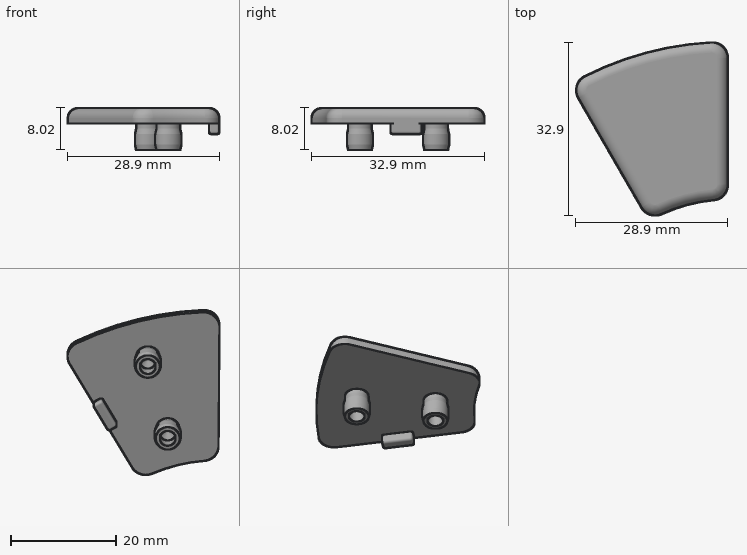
import cadquery as cq
import math

sector_angle = 30.0
outer_radius = 60.0
inner_radius = 30.02
corner_radius = 3.0
plate_thickness = 3.0
top_round = 2.0

pin_radii = (37.5, 52.5)
neck_diameter = 4.55
barrel_diameter = 5.0
neck_length = 1.0
upper_taper_length = 1.02
barrel_length = 2.0
lower_taper_length = 1.0
bore_diameter = 3.0
drill_point_angle = 120.0

block_width = 2.0
block_length = 6.0
block_height = 2.0
block_round = 0.5
block_center_y = sum(pin_radii) / len(pin_radii)


def polar(radius, angle):
    """Point at an angle measured from the Y axis toward -X."""
    turn = math.radians(angle)
    return (-radius * math.sin(turn), radius * math.cos(turn))


def make_plate():
    middle = sector_angle / 2
    plate = (
        cq.Workplane("XY")
        .moveTo(*polar(inner_radius, 0))
        .lineTo(*polar(outer_radius, 0))
        .threePointArc(polar(outer_radius, middle), polar(outer_radius, sector_angle))
        .lineTo(*polar(inner_radius, sector_angle))
        .threePointArc(polar(inner_radius, middle), polar(inner_radius, 0))
        .close()
        .extrude(plate_thickness)
    )
    return plate.edges("|Z").fillet(corner_radius).faces(">Z").edges().fillet(top_round)


def make_pin(center):
    """Pin with a tapered barrel and a drilled blind bore, hanging below the plate."""
    neck_r = neck_diameter / 2
    barrel_r = barrel_diameter / 2
    bore_r = bore_diameter / 2
    neck_end = -neck_length
    barrel_top = neck_end - upper_taper_length
    barrel_bottom = barrel_top - barrel_length
    pin_end = barrel_bottom - lower_taper_length
    bore_tip = barrel_top + bore_r / math.tan(math.radians(drill_point_angle / 2))
    profile = [
        (0, 0),
        (neck_r, 0),
        (neck_r, neck_end),
        (barrel_r, barrel_top),
        (barrel_r, barrel_bottom),
        (neck_r, pin_end),
        (bore_r, pin_end),
        (bore_r, barrel_top),
        (0, bore_tip),
    ]
    pin = cq.Workplane("XZ").polyline(profile).close().revolve(360, (0, 0), (0, 1))
    return pin.translate((*center, 0))


def make_block():
    block = cq.Workplane("XY").box(block_width, block_length, block_height)
    block = block.edges("|Z or <Z").fillet(block_round)
    return block.translate((-block_width / 2, block_center_y, -block_height / 2))


result = make_plate().union(make_block())
for pin_radius in pin_radii:
    result = result.union(make_pin(polar(pin_radius, sector_angle / 2)))